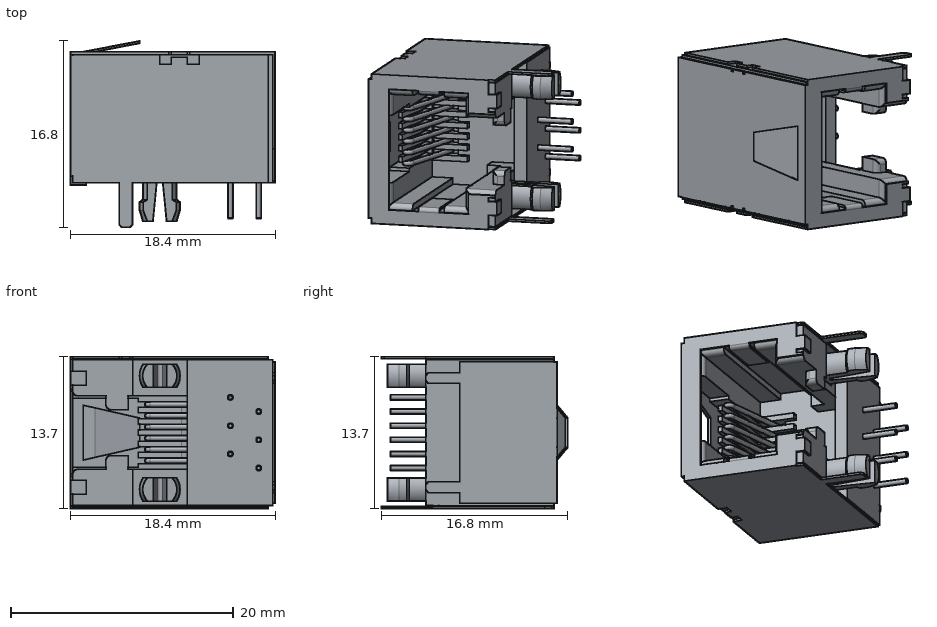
import cadquery as cq
import math


LENGTH = 18.45
HALF_WIDTH = 6.855
BODY_TOP = 11.55
TOP_PLATE = 0.28
SHEET = 0.2

TOP_PLATE_HALF = 6.37
SIDE_PLATE_END = 17.82
SIDE_TAB_X = (4.4, 5.63)
SIDE_TAB_TIP = -4.0
SIDE_TAB_CHAMFER = 0.25
WINDOW_HALF = 5.54
WINDOW_Y = (2.49, 9.95)
WINDOW_GAP_HALF = 3.7
FRONT_NOTCH_TOP = 0.63
CLIP_Z = (4.28, 5.54)
CLIP_GAP = 0.35
CLIP_LENGTH = 1.45
REAR_PLATE_BOTTOM = 3.06
REAR_TAB_Z = (4.43, 5.4)
REAR_TAB_CHAMFER = (0.22, 0.28)
TONGUE_X = (9.1, 10.55)
TONGUE_TOP = 11.35
CUTOUT_WIDTH = 1.05
CUTOUT_BOTTOM = 10.7
EDGE_NOTCH = 0.2

FINGER_Y = (5.22, 7.18)
FINGER_INNER = 5.15
FINGER_END = 4.58

SPRING_ROOT_X = 1.16
SPRING_BEND_X = 2.21
SPRING_TIP_X = 6.27
SPRING_ROOT_HALF = 2.47
SPRING_TIP_HALF = 1.31
SPRING_TIP_Y = 12.8
SPRING_SHEET = 0.22

HOUSING_X = (SHEET, LENGTH - SHEET)
HOUSING_HALF = 6.59
CAVITY_END = 13.62
CAVITY_HALF = 4.96
CAVITY_TOP = 9.72
LEDGE_TOP = 2.86
OPENING_HALF = 3.3
REAR_BLOCK_X = 10.52
REAR_BLOCK_TOP = 1.16
MID_RECESS_X = 5.63
KEYWAY_HALF = 3.1
KEYWAY_END = 6.1
ENTRY_RADIUS = 0.5
GROOVE_Y = (4.8, 7.77)
GROOVE_HALF = 5.54
STOP_X = 12.01
STOP_TOP = 4.1
LUG_X = (3.21, 5.2)
LUG_HALF_GAP = 2.07
LUG_RADIUS = 0.46

CONTACTS = 6
CONTACT_PITCH = 1.01
SLOT_WIDTH = 0.52
COMB_HALF = (CONTACTS - 1) / 2 * CONTACT_PITCH + SLOT_WIDTH / 2
TOOTH_Y = (10.37, 10.72)
TOOTH_SLOPE_END = 10.02
COMB_BACK_X = 13.03
COMB_BACK_BOTTOM = 6.25
DEEP_SLOT_BOTTOM = 7.29
DEEP_SLOT_END = 14.2

WIRE_RADIUS = 0.23
WIRE_BEND = 0.31
WIRE_BEND_CENTER = (7.27, 10.13)
WIRE_SLOPE = 13.8
WIRE_EMBED = 0.37
PIN_RADIUS = 0.24
PIN_TIP = -3.21
PIN_CHAMFER = 0.05
PIN_PITCH = 1.27
PIN_ROWS_X = (14.43, 16.97)
PIN_FIRST_Z = 3.17

PEG_X = 8.06
PEG_Z = 5.12
PEG_RADIUS = 1.53
PEG_BARB_RADIUS = 1.83
PEG_HALF_THICK = 1.05
PEG_ROOT_RADIUS = 0.33
PEG_BARB_Y = (-1.5, -1.73, -2.45)
PEG_TIP = -3.47
PEG_SLIT_TOP = 0.66
PEG_SLIT_TOP_RADIUS = 0.22
PEG_SLIT_TIP_HALF = 0.6


def box(x, y, z):
    """Block spanning the given (low, high) pair on each axis."""
    size = [high - low for low, high in (x, y, z)]
    return cq.Workplane("XY").box(*size, centered=False).translate((x[0], y[0], z[0]))


def centered_box(x, y, half):
    """Block symmetric about Z = 0."""
    return box(x, y, (-half, half))


def both_sides(shape):
    """The shape together with its mirror image about Z = 0."""
    return shape.union(shape.mirror("XY"))


def plate_xy(points, z_low, z_high):
    """Prism along Z from an outline of (x, y) points."""
    return cq.Workplane("XY", origin=(0, 0, z_low)).polyline(points).close().extrude(z_high - z_low)



def front_plate():
    plate = centered_box((0, SHEET), (0, BODY_TOP), HALF_WIDTH)
    plate = plate.union(centered_box((0, SHEET), (BODY_TOP, BODY_TOP + TOP_PLATE), TOP_PLATE_HALF))
    plate = plate.cut(centered_box((0, SHEET), WINDOW_Y, WINDOW_HALF))
    plate = plate.cut(centered_box((0, SHEET), (0, WINDOW_Y[0]), WINDOW_GAP_HALF))
    notch_y = (0, FRONT_NOTCH_TOP)
    corner = box((0, SHEET), notch_y, (CLIP_Z[1], HALF_WIDTH))
    inner_notch = box((0, SHEET), notch_y, (CLIP_Z[0] - CLIP_GAP, CLIP_Z[0]))
    clip = box((0, CLIP_LENGTH), (-SHEET, 0), CLIP_Z)
    return plate.cut(both_sides(corner.union(inner_notch))).union(both_sides(clip))


def side_plate():
    z_range = (HALF_WIDTH - SHEET, HALF_WIDTH)
    plate = box((SHEET, SIDE_PLATE_END), (0, BODY_TOP), z_range)
    tab = box(SIDE_TAB_X, (SIDE_TAB_TIP, 0), z_range).edges("<Y and |Z").chamfer(SIDE_TAB_CHAMFER)
    outer = (TONGUE_X[0] - CUTOUT_WIDTH, TONGUE_X[1] + CUTOUT_WIDTH)
    cutout = box(outer, (CUTOUT_BOTTOM, BODY_TOP), z_range)
    tongue = box(TONGUE_X, (CUTOUT_BOTTOM, TONGUE_TOP), z_range)
    return plate.union(tab).cut(cutout).union(tongue)


def grounding_finger():
    """Finger bent inward from the side of the window, lying inside the plug cavity."""
    bend_outer = WINDOW_HALF - FINGER_INNER
    bend_inner = bend_outer - SHEET
    outer_mid = bend_outer * (1 - math.sqrt(0.5))
    inner_offset = bend_inner * math.sqrt(0.5)
    y_low, y_high = FINGER_Y
    return (
        cq.Workplane("XZ", origin=(0, y_low, 0))
        .moveTo(0, WINDOW_HALF)
        .threePointArc((outer_mid, FINGER_INNER + outer_mid), (bend_outer, FINGER_INNER))
        .lineTo(FINGER_END, FINGER_INNER)
        .lineTo(FINGER_END, FINGER_INNER + SHEET)
        .lineTo(bend_outer, FINGER_INNER + SHEET)
        .threePointArc((bend_outer - inner_offset, WINDOW_HALF - inner_offset), (SHEET, WINDOW_HALF))
        .close()
        .extrude(y_low - y_high)
    )


def spring_outline(y_low, y_high):
    """Prism along Y with the tapered outline shared by the latch spring and its opening."""
    points = [
        (SPRING_ROOT_X, -SPRING_ROOT_HALF),
        (SPRING_TIP_X, -SPRING_TIP_HALF),
        (SPRING_TIP_X, SPRING_TIP_HALF),
        (SPRING_ROOT_X, SPRING_ROOT_HALF),
    ]
    return cq.Workplane("XZ", origin=(0, y_low, 0)).polyline(points).close().extrude(y_low - y_high)


def latch_spring():
    """Tapered spring that rises out of the latch-side plate toward the rear."""
    plate_top = BODY_TOP + TOP_PLATE
    slope = (SPRING_TIP_Y - plate_top) / (SPRING_TIP_X - SPRING_ROOT_X)
    bend_y = plate_top + slope * (SPRING_BEND_X - SPRING_ROOT_X) - SPRING_SHEET
    profile = plate_xy(
        [
            (SPRING_ROOT_X, plate_top),
            (SPRING_ROOT_X, bend_y),
            (SPRING_BEND_X, bend_y),
            (SPRING_TIP_X, SPRING_TIP_Y - SPRING_SHEET),
            (SPRING_TIP_X, SPRING_TIP_Y),
        ],
        -SPRING_ROOT_HALF,
        SPRING_ROOT_HALF,
    )
    return profile.intersect(spring_outline(BODY_TOP, SPRING_TIP_Y))


def top_plate():
    y_range = (BODY_TOP, BODY_TOP + TOP_PLATE)
    plate = centered_box((SHEET, LENGTH), y_range, TOP_PLATE_HALF)
    plate = plate.cut(spring_outline(*y_range))
    notch_z = (TOP_PLATE_HALF - EDGE_NOTCH, TOP_PLATE_HALF)
    for x_low in (TONGUE_X[0] - EDGE_NOTCH, TONGUE_X[1]):
        plate = plate.cut(both_sides(box((x_low, x_low + EDGE_NOTCH), y_range, notch_z)))
    return plate.union(latch_spring())


def rear_plate():
    x_range = (LENGTH - SHEET, LENGTH)
    plate = centered_box(x_range, (REAR_PLATE_BOTTOM, BODY_TOP), TOP_PLATE_HALF)
    tab = box(x_range, (0, REAR_PLATE_BOTTOM), REAR_TAB_Z)
    tab = tab.edges("<Y and |X").chamfer(REAR_TAB_CHAMFER[1], REAR_TAB_CHAMFER[0])
    return plate.union(both_sides(tab))


def make_shield():
    shield = front_plate().union(both_sides(side_plate())).union(both_sides(grounding_finger()))
    return shield.union(top_plate()).union(rear_plate())



def edge_waste(plane, origin, edge, direction, length):
    """Waste that rounds a front edge, opening outward from the edge in the given direction.

    The profile lies in the plane, with the front face along its second axis.
    """
    front = HOUSING_X[0]
    arc_mid = ENTRY_RADIUS * (1 - math.sqrt(0.5))
    return (
        cq.Workplane(plane, origin=origin)
        .moveTo(front, edge)
        .lineTo(front, edge + direction * ENTRY_RADIUS)
        .threePointArc((front + arc_mid, edge + direction * arc_mid), (front + ENTRY_RADIUS, edge))
        .close()
        .extrude(length)
    )


def side_edge_waste(z, y_low, y_high):
    """Waste along a front edge that runs in Y."""
    return edge_waste("XZ", (0, y_low, 0), z, 1, y_low - y_high)


def level_edge_waste(y, direction, z_low, z_high):
    """Waste along a front edge that runs in Z."""
    return edge_waste("XY", (0, 0, z_low), y, direction, z_high - z_low)


def plug_cavity():
    front = HOUSING_X[0]
    cavity = centered_box((front, CAVITY_END), (LEDGE_TOP, CAVITY_TOP), CAVITY_HALF)
    stop = box((STOP_X, CAVITY_END), (LEDGE_TOP, STOP_TOP), (OPENING_HALF, CAVITY_HALF))
    cavity = cavity.cut(both_sides(stop))
    cavity = cavity.union(centered_box((front, REAR_BLOCK_X), (0, LEDGE_TOP), OPENING_HALF))
    cavity = cavity.union(
        centered_box((REAR_BLOCK_X, CAVITY_END), (REAR_BLOCK_TOP, LEDGE_TOP), OPENING_HALF)
    )
    cavity = cavity.union(centered_box((front, KEYWAY_END), (CAVITY_TOP, BODY_TOP), KEYWAY_HALF))
    cavity = cavity.union(centered_box((KEYWAY_END, CAVITY_END), (CAVITY_TOP, BODY_TOP), COMB_HALF))
    groove = box((front, CAVITY_END), GROOVE_Y, (CAVITY_HALF, GROOVE_HALF))
    return cavity.union(both_sides(groove))


def entry_rounding():
    """Waste of the rounded lead-in around the plug cavity, with mitred corners."""
    outer = CAVITY_HALF + ENTRY_RADIUS
    low = LEDGE_TOP - ENTRY_RADIUS
    high = CAVITY_TOP + ENTRY_RADIUS
    waste = side_edge_waste(OPENING_HALF, 0, LEDGE_TOP)
    waste = waste.union(side_edge_waste(CAVITY_HALF, LEDGE_TOP, GROOVE_Y[0]))
    waste = waste.union(side_edge_waste(CAVITY_HALF, GROOVE_Y[1], CAVITY_TOP))
    waste = waste.union(level_edge_waste(LEDGE_TOP, -1, OPENING_HALF, CAVITY_HALF))
    waste = waste.union(level_edge_waste(CAVITY_TOP, 1, KEYWAY_HALF, CAVITY_HALF))
    lower_corner = side_edge_waste(CAVITY_HALF, low, LEDGE_TOP).intersect(
        level_edge_waste(LEDGE_TOP, -1, CAVITY_HALF, outer)
    )
    upper_corner = side_edge_waste(CAVITY_HALF, CAVITY_TOP, high).intersect(
        level_edge_waste(CAVITY_TOP, 1, CAVITY_HALF, outer)
    )
    return both_sides(waste.union(lower_corner).union(upper_corner))


def lugs():
    """Rounded lugs that reach into the open board side of the cavity."""
    lug = box(LUG_X, (0, REAR_BLOCK_TOP), (LUG_HALF_GAP, OPENING_HALF))
    lug = lug.faces("<X").edges("<Z or >Y").fillet(LUG_RADIUS)
    return both_sides(lug)


def contact_comb():
    """Teeth that separate the contact wires, with a cheek at each end of the row."""
    outline = [
        (KEYWAY_END, TOOTH_Y[1]),
        (KEYWAY_END, TOOTH_Y[0]),
        (TOOTH_SLOPE_END, CAVITY_TOP),
        (COMB_BACK_X, CAVITY_TOP),
        (COMB_BACK_X, COMB_BACK_BOTTOM),
        (CAVITY_END, COMB_BACK_BOTTOM),
        (CAVITY_END, TOOTH_Y[1]),
    ]
    comb = both_sides(
        box((COMB_BACK_X, CAVITY_END), (COMB_BACK_BOTTOM, CAVITY_TOP), (COMB_HALF, OPENING_HALF))
    )
    half_tooth = (CONTACT_PITCH - SLOT_WIDTH) / 2
    for index in range(CONTACTS - 1):
        z = (index - (CONTACTS - 2) / 2) * CONTACT_PITCH
        comb = comb.union(plate_xy(outline, z - half_tooth, z + half_tooth))
    return comb


def contact_z(index):
    return (index - (CONTACTS - 1) / 2) * CONTACT_PITCH


def deep_slot(index):
    """Pocket in the end wall that takes the lower end of one contact wire."""
    z = contact_z(index)
    return box(
        (CAVITY_END, DEEP_SLOT_END),
        (DEEP_SLOT_BOTTOM, CAVITY_TOP),
        (z - SLOT_WIDTH / 2, z + SLOT_WIDTH / 2),
    )


def contact_wire(index):
    """Round wire: a level upper leg, a tight bend and a leg sloping down to the rear."""
    x, y = WIRE_BEND_CENTER
    slope = math.radians(WIRE_SLOPE)
    upper_end = CAVITY_END + WIRE_EMBED
    bend_end = (x - WIRE_BEND * math.sin(slope), y - WIRE_BEND * math.cos(slope))
    lower_x = DEEP_SLOT_END + WIRE_EMBED
    lower_y = bend_end[1] - (lower_x - bend_end[0]) * math.tan(slope)
    z = contact_z(index)
    path = (
        cq.Workplane("XY", origin=(0, 0, z))
        .moveTo(upper_end, y + WIRE_BEND)
        .lineTo(x, y + WIRE_BEND)
        .threePointArc((x - WIRE_BEND, y), bend_end)
        .lineTo(lower_x, lower_y)
    )
    start = cq.Workplane("YZ", origin=(upper_end, y + WIRE_BEND, z))
    return start.circle(WIRE_RADIUS).sweep(path)


def board_pin(index):
    pin = (
        cq.Workplane("XZ", origin=(PIN_ROWS_X[index % 2], 0, PIN_FIRST_Z - index * PIN_PITCH))
        .circle(PIN_RADIUS)
        .extrude(-PIN_TIP)
    )
    return pin.faces("<Y").chamfer(PIN_CHAMFER)


def peg_slit():
    """Slit that narrows upward and ends in a round top tangent to both walls."""
    radius = PEG_SLIT_TOP_RADIUS
    center_y = PEG_SLIT_TOP - radius
    depth = center_y - PEG_TIP
    tip_distance = math.hypot(PEG_SLIT_TIP_HALF, depth)
    tilt = math.atan(PEG_SLIT_TIP_HALF / depth) - math.asin(radius / tip_distance)
    tangent_x = radius * math.cos(tilt)
    tangent_y = center_y + radius * math.sin(tilt)
    return (
        cq.Workplane("XY", origin=(0, 0, -PEG_HALF_THICK))
        .moveTo(-PEG_SLIT_TIP_HALF, PEG_TIP)
        .lineTo(-tangent_x, tangent_y)
        .threePointArc((0, PEG_SLIT_TOP), (tangent_x, tangent_y))
        .lineTo(PEG_SLIT_TIP_HALF, PEG_TIP)
        .close()
        .extrude(2 * PEG_HALF_THICK)
    )


def board_peg():
    """Split snap peg with flat sides, a flared root and a barbed tip."""
    barb_start, barb_top, barb_end = PEG_BARB_Y
    root_mid = PEG_ROOT_RADIUS * (1 - math.sqrt(0.5))
    peg = (
        cq.Workplane("XY")
        .moveTo(0, REAR_BLOCK_TOP)
        .lineTo(PEG_RADIUS + PEG_ROOT_RADIUS, REAR_BLOCK_TOP)
        .threePointArc(
            (PEG_RADIUS + root_mid, REAR_BLOCK_TOP - root_mid),
            (PEG_RADIUS, REAR_BLOCK_TOP - PEG_ROOT_RADIUS),
        )
        .lineTo(PEG_RADIUS, barb_start)
        .lineTo(PEG_BARB_RADIUS, barb_top)
        .lineTo(PEG_BARB_RADIUS, barb_end)
        .lineTo(PEG_RADIUS, PEG_TIP)
        .lineTo(0, PEG_TIP)
        .close()
        .revolve(360, (0, 0, 0), (0, 1, 0))
    )
    reach = PEG_RADIUS + PEG_ROOT_RADIUS
    peg = peg.intersect(centered_box((-reach, reach), (PEG_TIP, REAR_BLOCK_TOP), PEG_HALF_THICK))
    return peg.cut(peg_slit()).translate((PEG_X, 0, PEG_Z))


def make_housing():
    housing = centered_box(HOUSING_X, (0, BODY_TOP), HOUSING_HALF)
    recess = box((MID_RECESS_X, REAR_BLOCK_X), (0, REAR_BLOCK_TOP), (OPENING_HALF, HOUSING_HALF))
    housing = housing.cut(both_sides(recess))
    housing = housing.cut(plug_cavity()).cut(entry_rounding())
    housing = housing.union(lugs()).union(contact_comb())
    for index in range(CONTACTS):
        housing = housing.cut(deep_slot(index))
    for index in range(CONTACTS):
        housing = housing.union(contact_wire(index)).union(board_pin(index))
    return housing.union(both_sides(board_peg()))


shield = make_shield()
housing = make_housing()
result = cq.Compound.makeCompound([shield.solids().val(), housing.solids().val()])